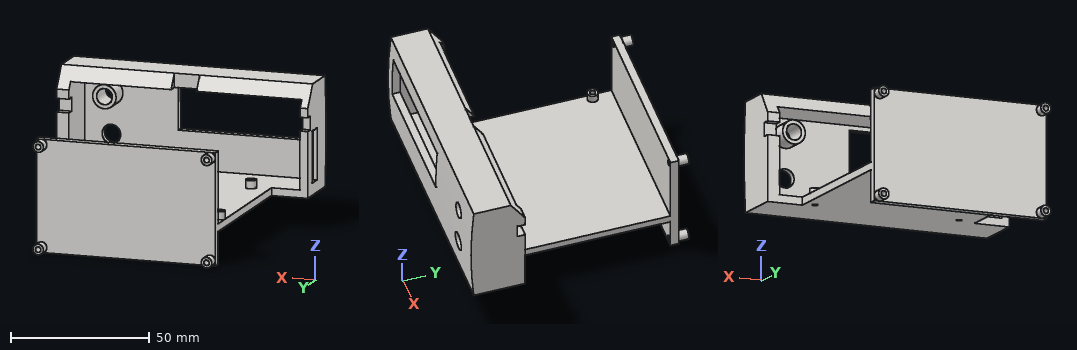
import cadquery as cq


bezel_width = 96.0
bezel_height = 41.4
bezel_depth = 19.6
front_bulge = 1.1
chamfer_depth = 5.5
chamfer_height = 8.0

wall = 3.0
right_wall = 4.8
front_wall = 3.1
cavity_front = front_wall - front_bulge
cavity_width = bezel_width - wall - right_wall
lip_depth = 1.8
cavity_top = bezel_height - chamfer_height + lip_depth * chamfer_height / chamfer_depth

window_left, window_width = 4.8, 50.7
window_bottom, window_height = 17.3, 17.1
control_x = 81.0
button_z, button_diameter = 29.5, 6.0
knob_z, knob_diameter = 13.9, 7.0
sleeve_diameter = 8.9
sleeve_length = 7.7
roof_gap_left, roof_gap_width = 43.1, 9.7
notch_depth, notch_bottom, notch_height = 3.0, 24.9, 5.1
side_pocket_width, side_pocket_height, side_pocket_depth = 5.3, 19.3, 1.4
side_pocket_rear_gap, side_pocket_bottom = 5.3, 4.6

tray_width = 68.4
tray_left = (bezel_width - tray_width) / 2
tray_thickness = wall
rear_plate_front = 79.4
rear_plate_thickness = 3.3
rear_plate_height = 42.1
rear_plate_bottom = -12.1

standoff_diameter = 4.0
standoff_hole = 2.0
standoff_inset = standoff_diameter / 2
tray_standoff_height = 3.0
rear_standoff_length = 3.8
front_standoff_y = bezel_depth + standoff_inset
tray_standoffs = [
    (20.9, front_standoff_y),
    (78.0, front_standoff_y),
    (tray_left + standoff_inset, 71.6),
]


def box(x, y, z, width, depth, height):
    """Box located by its left, front, lower corner."""
    return cq.Workplane("XY").box(width, depth, height, centered=False).translate((x, y, z))


def rod_along_y(x, z, diameter, start, end):
    """Cylinder parallel to Y between two Y positions."""
    plane = cq.Plane(origin=(x, start, z), xDir=(1, 0, 0), normal=(0, 1, 0))
    return cq.Workplane(plane).circle(diameter / 2).extrude(end - start)


def rod_along_z(x, y, diameter, start, end):
    """Cylinder parallel to Z between two Z positions."""
    return cq.Workplane("XY", origin=(x, y, start)).circle(diameter / 2).extrude(end - start)


def make_bezel():
    body = (
        cq.Workplane("YZ")
        .moveTo(0, 0)
        .lineTo(bezel_depth, 0)
        .lineTo(bezel_depth, bezel_height - chamfer_height)
        .lineTo(bezel_depth - chamfer_depth, bezel_height)
        .lineTo(0, bezel_height)
        .threePointArc((-front_bulge, bezel_height / 2), (0, 0))
        .close()
        .extrude(bezel_width)
    )
    cavity = box(
        wall, cavity_front, wall,
        cavity_width, bezel_depth - cavity_front, cavity_top - wall,
    )
    roof_gap = box(
        roof_gap_left, bezel_depth - chamfer_depth, wall,
        roof_gap_width, chamfer_depth, bezel_height - wall,
    )
    notch = box(
        0, bezel_depth - notch_depth, notch_bottom,
        bezel_width, notch_depth, notch_height,
    )
    side_pocket = box(
        0, bezel_depth - side_pocket_rear_gap - side_pocket_width, side_pocket_bottom,
        side_pocket_depth, side_pocket_width, side_pocket_height,
    )
    body = body.cut(cavity).cut(roof_gap).cut(notch).cut(side_pocket)
    return cut_front_openings(body)


def cut_front_openings(body):
    """Window, knob hole and sleeved button hole through the front wall."""
    sleeve_end = cavity_front + sleeve_length
    body = body.union(rod_along_y(control_x, button_z, sleeve_diameter, 0, sleeve_end))
    window = box(
        window_left, -front_bulge, window_bottom,
        window_width, front_wall, window_height,
    )
    button_hole = rod_along_y(control_x, button_z, button_diameter, -front_bulge, sleeve_end)
    knob_hole = rod_along_y(control_x, knob_z, knob_diameter, -front_bulge, cavity_front)
    return body.cut(window).cut(button_hole).cut(knob_hole)


def make_tray():
    tray_length = rear_plate_front - bezel_depth
    tray = box(tray_left, bezel_depth, 0, tray_width, tray_length, tray_thickness)
    top = tray_thickness + tray_standoff_height
    for x, y in tray_standoffs:
        tray = tray.union(rod_along_z(x, y, standoff_diameter, 0, top))
        tray = tray.cut(rod_along_z(x, y, standoff_hole, 0, top))
    return tray


def make_rear_plate():
    plate = box(
        tray_left, rear_plate_front, rear_plate_bottom,
        tray_width, rear_plate_thickness, rear_plate_height,
    )
    end = rear_plate_front + rear_plate_thickness + rear_standoff_length
    for x in (tray_left + standoff_inset, tray_left + tray_width - standoff_inset):
        for z in (
            rear_plate_bottom + standoff_inset,
            rear_plate_bottom + rear_plate_height - standoff_inset,
        ):
            plate = plate.union(rod_along_y(x, z, standoff_diameter, rear_plate_front, end))
            plate = plate.cut(rod_along_y(x, z, standoff_hole, rear_plate_front, end))
    return plate


result = make_bezel().union(make_tray()).union(make_rear_plate()).clean()